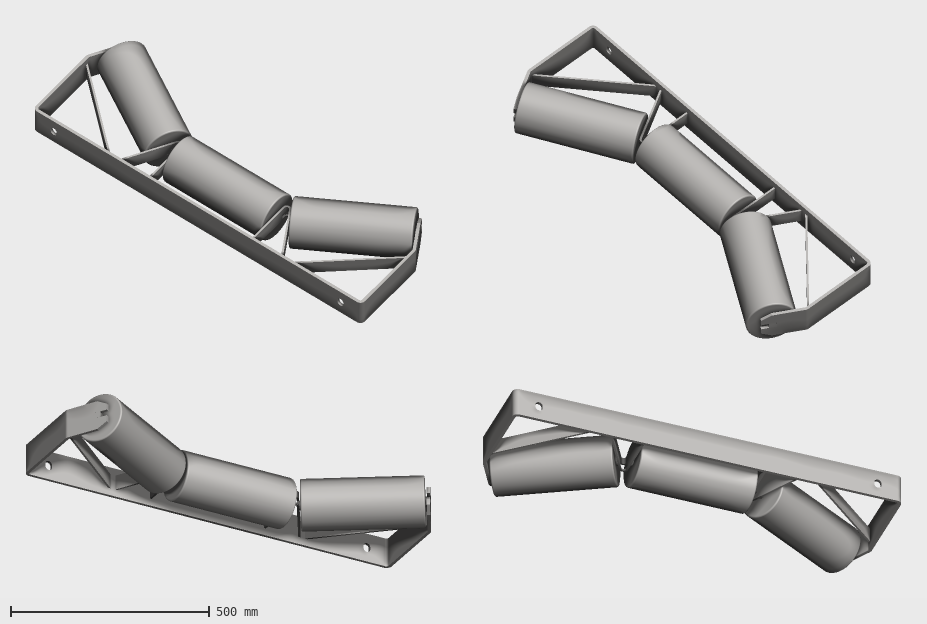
import cadquery as cq
import math


FRAME_LENGTH = 1050.0
STRIP_WIDTH = 80.0
STRIP_THICKNESS = 8.0
BEND_RADIUS = 15.0
WALL_HEIGHT = 224.0
ARM_LENGTH = 120.0
ARM_TIP_CHAMFER_ALONG = 28.0
ARM_TIP_CHAMFER_ACROSS = 15.0
BOLT_SLOT_SPACING = 916.0
BOLT_SLOT_LENGTH = 25.0
BOLT_SLOT_WIDTH = 19.0

TROUGH_ANGLE = 30.0
SHELL_LENGTH = 315.0
SHELL_DIAMETER = 133.0
SHELL_RIM_RADIUS = 4.0
AXLE_DIAMETER = 25.0
TANG_HEIGHT = 20.0
TANG_WIDTH = 16.0
END_GAP = 4.0
ARM_TO_AXLE = 89.0
MIDDLE_AXLE_HEIGHT = 126.0
SLOT_DEPTH = 21.0
BRACKET_SLOT = 84.0
AXLE_DROP = 6.8

SUPPORT_WIDTH = 40.0
PLATE_THICKNESS = 5.0
BRACKET_BEND_RADIUS = 12.0
BRACE_WALL_HEIGHT = 213.0
BRACE_FOOT_X = 284.0

SIN_TROUGH = math.sin(math.radians(TROUGH_ANGLE))
COS_TROUGH = math.cos(math.radians(TROUGH_ANGLE))
TAN_TROUGH = SIN_TROUGH / COS_TROUGH
HALF_LENGTH = FRAME_LENGTH / 2
HALF_WIDTH = STRIP_WIDTH / 2
OUTER_TANG = END_GAP + STRIP_THICKNESS
INNER_TANG = END_GAP + PLATE_THICKNESS
SIDE_AXLE_LENGTH = OUTER_TANG + SHELL_LENGTH + INNER_TANG
AXLE_START_X = -HALF_LENGTH + ARM_TO_AXLE * SIN_TROUGH
AXLE_START_Y = WALL_HEIGHT + ARM_TO_AXLE * COS_TROUGH
TILT = math.asin(AXLE_DROP / SIDE_AXLE_LENGTH)


def side_roller_plane():
    """Plane at the centre of the -X roller: its x runs along the axle, its y up the arm."""
    axis = cq.Vector(COS_TROUGH * math.cos(TILT), -SIN_TROUGH * math.cos(TILT), -math.sin(TILT))
    up_arm = cq.Vector(SIN_TROUGH, COS_TROUGH, 0)
    start = cq.Vector(AXLE_START_X, AXLE_START_Y, 0)
    centre = start + axis * (OUTER_TANG + SHELL_LENGTH / 2)
    return cq.Plane(origin=centre, xDir=axis, normal=axis.cross(up_arm))


SIDE_PLANE = side_roller_plane()
MIDDLE_PLANE = cq.Plane(origin=(0, MIDDLE_AXLE_HEIGHT, -AXLE_DROP))


def mirrored(body):
    return body.mirror("YZ")


def plate_from_outline(points, width):
    """Closed XY outline extruded to a width that is centred on Z = 0."""
    return cq.Workplane("XY").polyline(points).close().extrude(width / 2, both=True)


def axle_slot(plane, end, length):
    """Cutter for the slot at one axle end (-1 or +1), running up from the seat of the tang."""
    slot = cq.Workplane("XY").box(SLOT_DEPTH, length, TANG_WIDTH, centered=(True, False, True))
    slot = slot.translate((end * (SHELL_LENGTH + SLOT_DEPTH) / 2, -TANG_HEIGHT / 2, 0))
    return slot.val().moved(cq.Location(plane))


def make_frame():
    """Base, two walls and two inclined arms, bent from one strip."""
    bend_shift = STRIP_THICKNESS * math.tan(math.radians(TROUGH_ANGLE / 2))
    tip_x = HALF_LENGTH - ARM_LENGTH * SIN_TROUGH
    tip_y = WALL_HEIGHT + ARM_LENGTH * COS_TROUGH
    inner_x = HALF_LENGTH - STRIP_THICKNESS
    half_outline = [
        (HALF_LENGTH, 0),
        (HALF_LENGTH, WALL_HEIGHT),
        (tip_x, tip_y),
        (tip_x - STRIP_THICKNESS * COS_TROUGH, tip_y - STRIP_THICKNESS * SIN_TROUGH),
        (inner_x, WALL_HEIGHT - bend_shift),
        (inner_x, STRIP_THICKNESS),
    ]
    other_half = [(-x, y) for x, y in reversed(half_outline)]
    frame = plate_from_outline(half_outline + other_half, STRIP_WIDTH)

    inner_radius = BEND_RADIUS - STRIP_THICKNESS
    for side in (-1, 1):
        for corner, radius in (
            (half_outline[0], BEND_RADIUS),
            (half_outline[1], BEND_RADIUS),
            (half_outline[4], inner_radius),
            (half_outline[5], inner_radius),
        ):
            bend = cq.selectors.NearestToPointSelector((side * corner[0], corner[1], 0))
            frame = frame.edges(bend).fillet(radius)

    for side in (-1, 1):
        tip = cq.Workplane(cq.Plane(
            origin=(side * tip_x, tip_y, 0),
            xDir=(-side * SIN_TROUGH, COS_TROUGH, 0),
            normal=(side * COS_TROUGH, SIN_TROUGH, 0),
        ))
        for edge in (-1, 1):
            corner = (
                tip.moveTo(0, edge * HALF_WIDTH)
                .lineTo(-ARM_TIP_CHAMFER_ALONG, edge * HALF_WIDTH)
                .lineTo(0, edge * (HALF_WIDTH - ARM_TIP_CHAMFER_ACROSS))
                .close()
                .extrude(STRIP_THICKNESS, both=True)
            )
            frame = frame.cut(corner)

    bolt_slots = (
        cq.Workplane("XZ")
        .pushPoints([(-BOLT_SLOT_SPACING / 2, 0), (BOLT_SLOT_SPACING / 2, 0)])
        .slot2D(BOLT_SLOT_LENGTH, BOLT_SLOT_WIDTH, 90)
        .extrude(-STRIP_THICKNESS)
    )
    arm_slot = cq.Workplane(axle_slot(SIDE_PLANE, -1, ARM_LENGTH))
    return frame.cut(bolt_slots).cut(arm_slot).cut(mirrored(arm_slot))


def make_roller(plane, start_tang, end_tang):
    """Shell on a round axle whose two ends are flattened to rectangular tangs."""
    axle_length = SHELL_LENGTH + 2 * END_GAP
    roller = (
        cq.Workplane("YZ", origin=(-SHELL_LENGTH / 2, 0, 0))
        .circle(SHELL_DIAMETER / 2)
        .extrude(SHELL_LENGTH)
        .faces("<X or >X")
        .edges()
        .fillet(SHELL_RIM_RADIUS)
    )
    axle = cq.Workplane("YZ", origin=(-axle_length / 2, 0, 0)).circle(AXLE_DIAMETER / 2).extrude(axle_length)
    tang_start = -SHELL_LENGTH / 2 - start_tang
    tang_end = SHELL_LENGTH / 2 + end_tang
    tangs = (
        cq.Workplane("YZ", origin=(tang_start, 0, 0))
        .rect(TANG_HEIGHT, TANG_WIDTH)
        .extrude(tang_end - tang_start)
    )
    return cq.Workplane(roller.union(axle).union(tangs).val().moved(cq.Location(plane)))


def bracket_wedge(inset, bend_radius):
    """Rounded wedge between a bracket's two legs, inset from their outer faces."""
    leg_x = -SHELL_LENGTH / 2 - END_GAP - inset
    reach = OUTER_TANG + SHELL_LENGTH + END_GAP + inset
    face_x = AXLE_START_X + reach * COS_TROUGH
    face_y = AXLE_START_Y - reach * SIN_TROUGH
    foot_x = face_x - (face_y - STRIP_THICKNESS) * TAN_TROUGH
    apex_y = face_y + (leg_x - face_x) / TAN_TROUGH
    wedge = plate_from_outline([
        (foot_x, STRIP_THICKNESS),
        (leg_x, STRIP_THICKNESS),
        (leg_x, apex_y),
    ], SUPPORT_WIDTH)
    apex = cq.selectors.NearestToPointSelector((leg_x, apex_y, 0))
    return wedge.edges(apex).fillet(bend_radius)


def make_bracket():
    """Sharply bent plate that holds a side roller and the middle roller."""
    outside = bracket_wedge(0, BRACKET_BEND_RADIUS)
    inside = bracket_wedge(PLATE_THICKNESS, BRACKET_BEND_RADIUS - PLATE_THICKNESS)
    side_slot = cq.Workplane(axle_slot(SIDE_PLANE, 1, BRACKET_SLOT))
    middle_slot = cq.Workplane(axle_slot(MIDDLE_PLANE, -1, BRACKET_SLOT))
    return outside.cut(inside).cut(side_slot).cut(middle_slot)


def make_brace():
    """Flat diagonal plate from the frame base up to the top of the wall."""
    wall_x = -HALF_LENGTH + STRIP_THICKNESS
    slope = math.atan2(BRACE_WALL_HEIGHT - STRIP_THICKNESS, -BRACE_FOOT_X - wall_x)
    half_on_wall = PLATE_THICKNESS / math.cos(slope) / 2
    half_on_base = PLATE_THICKNESS / math.sin(slope) / 2
    return plate_from_outline([
        (wall_x, BRACE_WALL_HEIGHT - half_on_wall),
        (-BRACE_FOOT_X - half_on_base, STRIP_THICKNESS),
        (-BRACE_FOOT_X + half_on_base, STRIP_THICKNESS),
        (wall_x, BRACE_WALL_HEIGHT + half_on_wall),
    ], SUPPORT_WIDTH)


frame = make_frame()
middle_roller = make_roller(MIDDLE_PLANE, INNER_TANG, INNER_TANG)
side_roller = make_roller(SIDE_PLANE, OUTER_TANG, INNER_TANG)
bracket = make_bracket()
brace = make_brace()

bodies = [frame.val(), middle_roller.val()]
for body in (side_roller, bracket, brace):
    bodies += [body.val(), mirrored(body).val()]

result = cq.Compound.makeCompound(bodies)